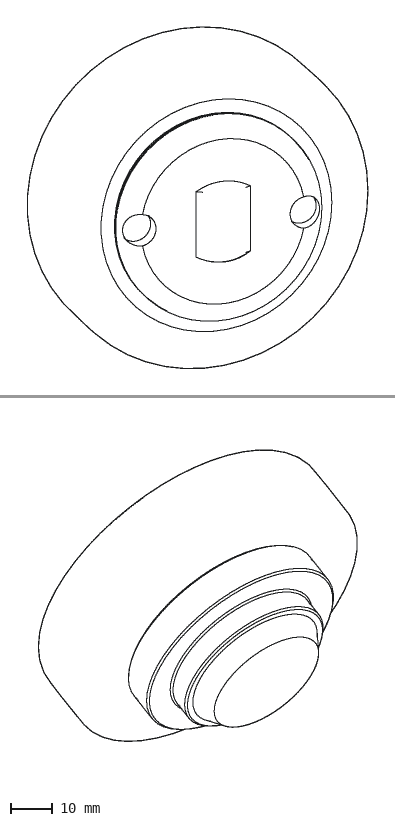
import cadquery as cq
import math

X_MIN = -25.25
EDGE = 0.5

STUB_TIP_RADIUS = 15.1
STUB_BASE_RADIUS = 18.0
STUB_LENGTH = 5.0
COLLAR_RADIUS = 40 / 2
FLANGE_RADIUS = 54.0 / 2
FLANGE_START = 11.0
FLANGE_END = 19.9
NECK_RADIUS = 46.2 / 2

WHEEL_RADIUS = 40.85
WHEEL_START = 20.4
WHEEL_END = 43.6
BACK_ROUND = 2.0
FRONT_ROUND = 4.0
FRONT_ROUND_START = 36.7
CROWN = 0.1
SLOPE = math.radians(70)

CAP_RADIUS = 52.0 / 2
SEAM_X = 44.2
SEAM_DEPTH = 0.3
CAP_ROUND = 1.0
CAP_ROUND_START = 46.0
CAP_END = 48.5

GRIP_HEIGHT = 2.0
GRIP_HALF_WIDTH = 6.95
GRIP_HALF_LENGTH = 8.25
PIN_HOLE_DIAMETER = 8.0
PIN_HOLE_OFFSET = 21.1
PIN_HOLE_DEPTH = 4.0


def stub_and_collars():
    """Conical stub, collar flaring into the flange, and the neck behind it."""
    return (
        cq.Workplane("XY")
        .lineTo(0, STUB_TIP_RADIUS)
        .lineTo(STUB_LENGTH, STUB_BASE_RADIUS)
        .lineTo(STUB_LENGTH, COLLAR_RADIUS - EDGE)
        .lineTo(STUB_LENGTH + EDGE, COLLAR_RADIUS)
        .lineTo(FLANGE_START - EDGE, COLLAR_RADIUS)
        .lineTo(FLANGE_START, COLLAR_RADIUS + EDGE)
        .lineTo(FLANGE_START, FLANGE_RADIUS - EDGE)
        .lineTo(FLANGE_START + EDGE, FLANGE_RADIUS)
        .lineTo(FLANGE_END - EDGE, FLANGE_RADIUS)
        .lineTo(FLANGE_END, FLANGE_RADIUS - EDGE)
        .lineTo(FLANGE_END, NECK_RADIUS)
        .lineTo(WHEEL_START, NECK_RADIUS)
        .lineTo(WHEEL_START, 0)
        .close()
        .revolve(360, (0, 0, 0), (1, 0, 0))
    )


def add_sloping_shoulder(outline, start, radius, rounding, end):
    """Round over from a cylinder and run down the slope to the end face."""
    def arc_point(angle):
        return (
            start + rounding * math.sin(angle),
            radius - rounding * (1 - math.cos(angle)),
        )

    slope_x, slope_radius = arc_point(SLOPE)
    end_radius = slope_radius - (end - slope_x) * math.tan(SLOPE)
    return (
        outline.threePointArc(arc_point(SLOPE / 2), (slope_x, slope_radius))
        .lineTo(end, end_radius)
        .lineTo(end, 0)
    )


def wheel():
    """Crowned wheel with a rounded back edge and a sloping front shoulder."""
    tread_edge = WHEEL_RADIUS - CROWN
    tread_start = WHEEL_START + BACK_ROUND
    tread_middle = (tread_start + FRONT_ROUND_START) / 2
    round_offset = BACK_ROUND * (1 - math.sqrt(0.5))
    outline = (
        cq.Workplane("XY")
        .moveTo(WHEEL_START, 0)
        .lineTo(WHEEL_START, tread_edge - BACK_ROUND)
        .threePointArc(
            (WHEEL_START + round_offset, tread_edge - round_offset),
            (tread_start, tread_edge),
        )
        .threePointArc((tread_middle, WHEEL_RADIUS), (FRONT_ROUND_START, tread_edge))
    )
    outline = add_sloping_shoulder(
        outline, FRONT_ROUND_START, tread_edge, FRONT_ROUND, WHEEL_END
    )
    return outline.close().revolve(360, (0, 0, 0), (1, 0, 0))


def cap():
    """Cap with a shallow seam groove and a sloping shoulder."""
    outline = (
        cq.Workplane("XY")
        .moveTo(WHEEL_END, 0)
        .lineTo(WHEEL_END, CAP_RADIUS)
        .lineTo(SEAM_X, CAP_RADIUS)
        .lineTo(SEAM_X, CAP_RADIUS - SEAM_DEPTH)
        .lineTo(SEAM_X + SEAM_DEPTH, CAP_RADIUS)
        .lineTo(CAP_ROUND_START, CAP_RADIUS)
    )
    outline = add_sloping_shoulder(
        outline, CAP_ROUND_START, CAP_RADIUS, CAP_ROUND, CAP_END
    )
    return outline.close().revolve(360, (0, 0, 0), (1, 0, 0))


def grip():
    """Arched bar along Z; each end is its arch turned about the arch's chord."""
    def arch(z):
        return (
            cq.Workplane("XY", origin=(CAP_END, 0, z))
            .moveTo(0, -GRIP_HALF_WIDTH)
            .threePointArc((GRIP_HEIGHT, 0), (0, GRIP_HALF_WIDTH))
            .close()
        )

    bar = arch(-GRIP_HALF_LENGTH).extrude(2 * GRIP_HALF_LENGTH)
    for z in (-GRIP_HALF_LENGTH, GRIP_HALF_LENGTH):
        bar = bar.union(arch(z).revolve(360, (0, 0, 0), (0, 1, 0)))
    return bar


def pin_holes():
    """Pair of blind holes breaking through the edge of the cap face."""
    return (
        cq.Workplane("YZ", origin=(CAP_END - PIN_HOLE_DEPTH, 0, 0))
        .pushPoints([(-PIN_HOLE_OFFSET, 0), (PIN_HOLE_OFFSET, 0)])
        .circle(PIN_HOLE_DIAMETER / 2)
        .extrude(PIN_HOLE_DEPTH)
    )


body = stub_and_collars().union(wheel()).union(cap()).union(grip())
result = body.cut(pin_holes()).translate((X_MIN, 0, 0))